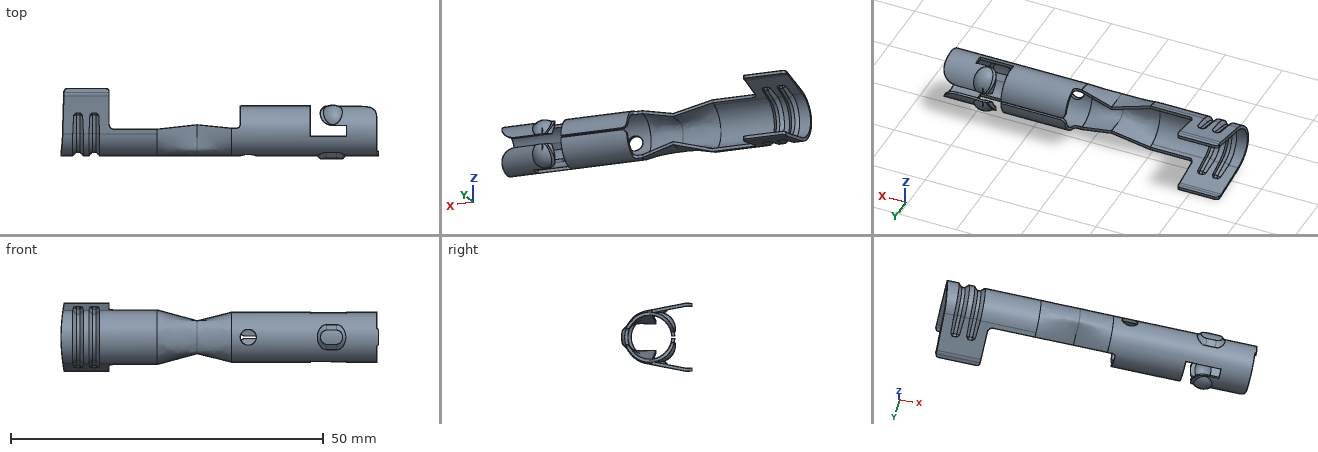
import cadquery as cq
import math

thickness = 0.5
bottom_y = -4.0
trim = 15.25

tube_r = 4.0
tube_start, tube_end = 28.65, 50.55
seam_gap = 0.35
seam_start_corner_r = 0.8
tongue_seam_gap = 1.75
tongue_seam_corner_r = 2.85
end_tab_x = 50.8
end_tab_base, end_tab_tip = 2.85, 2.35
hole_x, hole_d = 29.95, 2.55

window_x0, window_x1 = 39.9, 45.65
window_y0, window_y1 = -0.85, 0.8
tongue_tip_x = 41.45
tongue_x, tongue_r = 43.5, 2.05
tongue_top_x = 43.1
tongue_bend = (41.9, 3.7)

bump_height = 0.6
bump_half_length = 1.5
bump_axis_offset = 2.05
bump_angle = 42.0
bump_depth = 1.2

boss_x, boss_rise = 43.3, 0.5
boss_length, boss_width = 3.55, 2.0
boss_height = 1.0
boss_taper = -45.0

trough_r = 4.3
trough_end = 15.35
trough_top_y = 0.25
wing_angle = 11.0
wing_end = 7.7
wing_top_y = 6.75
wing_spread = 10.9
lip_angle = 4.0
wing_corner_r = 0.5
wing_root_fillet = 0.75
lip_bend_r = 2.3
lip_length = 1.25
end_bow = 0.5

bead_xs = (2.75, 5.35)
bead_width, bead_floor, bead_depth = 1.75, 0.55, 0.55
bead_end_y = 2.85
bead_end_width, bead_end_floor, bead_end_depth = 1.4, 0.55, 0.3
bead_tip_length = 0.4
bead_tip_width, bead_tip_floor, bead_tip_depth = 0.7, 0.5, 0.05

neck_x, neck_end = 21.8, 27.3
neck_half_width = 2.65
neck_top_y = 0.95
neck_floor_r = 4.2
neck_side_y, neck_side_end_y = -0.5, -2.05
neck_corner_y, neck_corner_z = -3.15, 2.5
neck_arc_angles = (62, 45, 22)
collar_top_y = 0.4
collar_fillet = 0.6

trough_y = bottom_y + trough_r
wing_half_height = wing_spread / 2
slope = math.radians(wing_angle)
lip_slope = math.radians(lip_angle)


def polar(center_y, radius, angle):
    """Point (Y, Z) at an angle measured from -Y towards +Z."""
    return (center_y - radius * math.cos(angle), radius * math.sin(angle))


def mirrored(point):
    return (point[0], -point[1])


def with_mirror(body):
    return body.union(body.mirror("XY"))


def trimmed_plan(outline):
    """Body of an X-Y outline reaching through the whole part in Z."""
    return outline.close().extrude(trim, both=True)


def round_corner(body, x, y, radius):
    """Round the Z edge of a plan body at (x, y)."""
    return body.edges(cq.selectors.NearestToPointSelector((x, y, 0))).fillet(radius)


wing_turn = math.pi / 2 - slope


def wing_root(depth):
    """Point where the trough arc meets the straight wing, a depth inside the outer skin."""
    return polar(trough_y, trough_r - depth, wing_turn)


wing_length = (
    wing_half_height - lip_bend_r * (1 - math.cos(slope)) - wing_root(0)[1]
) / math.sin(slope)


def along_wing(depth, distance):
    y, z = wing_root(depth)
    return (y + distance * math.cos(slope), z + distance * math.sin(slope))


def wing_at_y(depth, y):
    return along_wing(depth, (y - wing_root(depth)[0]) / math.cos(slope))


def trough_and_wings():
    """Open trough whose walls rise into the wings at its bowed end."""
    bend_start = along_wing(0, wing_length)
    bend_y = bend_start[0] + lip_bend_r * math.sin(slope)
    bend_z = wing_half_height - lip_bend_r

    def upper_points(depth):
        bend_r = lip_bend_r - depth
        end = (bend_y + bend_r * math.sin(lip_slope), bend_z + bend_r * math.cos(lip_slope))
        tip = (end[0] + lip_length * math.cos(lip_slope), end[1] - lip_length * math.sin(lip_slope))
        return (wing_root(depth), along_wing(depth, wing_length), (bend_y, bend_z + bend_r), end, tip)

    root, start, crest, end, tip = upper_points(0)
    root_in, start_in, crest_in, end_in, tip_in = upper_points(thickness)
    section = (
        cq.Workplane("YZ")
        .moveTo(*tip)
        .lineTo(*end)
        .threePointArc(crest, start)
        .lineTo(*root)
        .threePointArc((bottom_y, 0), mirrored(root))
        .lineTo(*mirrored(start))
        .threePointArc(mirrored(crest), mirrored(end))
        .lineTo(*mirrored(tip))
        .lineTo(*mirrored(tip_in))
        .lineTo(*mirrored(end_in))
        .threePointArc(mirrored(crest_in), mirrored(start_in))
        .lineTo(*mirrored(root_in))
        .threePointArc((bottom_y + thickness, 0), root_in)
        .lineTo(*start_in)
        .threePointArc(crest_in, end_in)
        .lineTo(*tip_in)
        .close()
        .extrude(trough_end)
    )
    plan = trimmed_plan(
        cq.Workplane("XY")
        .moveTo(0, -trim)
        .lineTo(0, wing_top_y)
        .lineTo(wing_end, wing_top_y)
        .lineTo(wing_end, trough_top_y)
        .lineTo(trough_end, trough_top_y)
        .lineTo(trough_end, -trim)
    )
    plan = round_corner(plan, wing_end, trough_top_y, wing_root_fillet)
    plan = round_corner(plan, wing_end, wing_top_y, wing_corner_r)
    bowed_end = (
        cq.Workplane("XZ")
        .moveTo(end_bow, -wing_half_height)
        .threePointArc((0, 0), (end_bow, wing_half_height))
        .lineTo(trough_end, wing_half_height)
        .lineTo(trough_end, -wing_half_height)
        .close()
        .extrude(trim, both=True)
    )
    left_corner = (
        cq.Workplane("XY")
        .moveTo(0, wing_top_y - wing_corner_r)
        .lineTo(0, wing_top_y)
        .lineTo(end_bow + wing_corner_r, wing_top_y)
        .radiusArc((end_bow, wing_top_y - wing_corner_r), -wing_corner_r)
    )
    return section.intersect(plan).intersect(bowed_end).cut(trimmed_plan(left_corner))


def trough_section(depth):
    """Upper half of the trough section, from its top edge towards the floor."""
    radius = trough_r - depth
    arc = [polar(trough_y, radius, math.radians(angle)) for angle in neck_arc_angles]
    return [wing_at_y(depth, trough_top_y), wing_root(depth)] + arc


def neck_section(depth):
    """Upper half of the pinched section: a flat side rounding into the floor."""
    side_z = neck_half_width - depth
    side = [(neck_top_y, side_z), (neck_side_y, side_z), (neck_side_end_y, side_z)]
    corner = (neck_corner_y + depth, neck_corner_z - depth)
    floor = polar(bottom_y + neck_floor_r, neck_floor_r - depth, math.radians(neck_arc_angles[-1]))
    return side + [corner, floor]


def tube_section(depth):
    """Upper half of the tube section up to the top of its collar."""
    radius = tube_r - depth
    top = (collar_top_y, math.sqrt(radius**2 - collar_top_y**2))
    side = polar(0, radius, wing_turn)
    arc = [polar(0, radius, math.radians(angle)) for angle in neck_arc_angles]
    return [top, side] + arc


def sheet_wire(x, section):
    """Closed wire of a bent sheet that is symmetric about Z = 0."""

    def skin(depth):
        upper = section(depth)
        return upper + [(bottom_y + depth, 0)] + [mirrored(point) for point in reversed(upper)]

    outer = skin(0)
    inner = skin(thickness)
    return (
        cq.Workplane("YZ", origin=(x, 0, 0))
        .spline(outer)
        .lineTo(*inner[-1])
        .spline(inner[-2::-1], includeCurrent=True)
        .close()
        .val()
    )


def neck():
    """Sheet pinched from the trough section to flat sides and opened again to the tube section."""
    trough_wire = sheet_wire(trough_end, trough_section)
    neck_wire = sheet_wire(neck_x, neck_section)
    tube_wire = sheet_wire(neck_end, tube_section)
    closing = cq.Solid.makeLoft([trough_wire, neck_wire], True)
    opening = cq.Solid.makeLoft([neck_wire, tube_wire], True)
    return cq.Workplane(closing).union(cq.Workplane(opening))


def bead(x, depth):
    """Trapezoidal bar pressed in from a skin of the trough, shallower along the wings."""
    radius = trough_r - depth
    root_y, root_z = wing_root(depth)
    root_plane = cq.Plane(
        origin=(x, root_y, root_z), xDir=(1, 0, 0), normal=(0, math.cos(slope), math.sin(slope))
    )

    def profile(wire, width, floor, height):
        outline = [(-width / 2, 0), (width / 2, 0), (floor / 2, height), (-floor / 2, height)]
        return wire.polyline(outline).close()

    root = profile(cq.Workplane(root_plane), bead_width, bead_floor, bead_depth)
    turned = root.revolve(180 - 2 * wing_angle, (-0.5, radius), (0.5, radius))

    reach = (bead_end_y - root_y) / math.cos(slope)
    straight = profile(cq.Workplane(root_plane), bead_width, bead_floor, bead_depth)
    straight = straight.workplane(offset=reach - bead_tip_length)
    straight = profile(straight, bead_end_width, bead_end_floor, bead_end_depth)
    straight = straight.workplane(offset=bead_tip_length)
    straight = profile(straight, bead_tip_width, bead_tip_floor, bead_tip_depth)
    return turned.union(with_mirror(straight.loft(ruled=True)))


def tube_shell():
    """Closed tube together with the half-open collar that joins it to the neck."""
    shell = (
        cq.Workplane("YZ", origin=(neck_end, 0, 0))
        .circle(tube_r)
        .circle(tube_r - thickness)
        .extrude(end_tab_x - neck_end)
    )
    plan = trimmed_plan(
        cq.Workplane("XY")
        .moveTo(neck_end, -trim)
        .lineTo(neck_end, collar_top_y)
        .lineTo(tube_start, collar_top_y)
        .lineTo(tube_start, trim)
        .lineTo(end_tab_x, trim)
        .lineTo(end_tab_x, -trim)
    )
    return shell.intersect(round_corner(plan, tube_start, collar_top_y, collar_fillet))


def rod(radius):
    """Solid cylinder on the tube axis, as long as the tube."""
    return cq.Workplane("YZ", origin=(tube_start, 0, 0)).circle(radius).extrude(tube_end - tube_start)


def beyond_end():
    """Space beyond the tube end, around a chamfered tab at the closed side."""
    space = cq.Workplane("XZ").rect(2 * trim, 2 * trim).extrude(trim, both=True)
    space = space.translate((tube_end + trim, 0, 0))
    tab = (
        cq.Workplane("XZ")
        .moveTo(tube_end, -end_tab_base / 2)
        .lineTo(end_tab_x, -end_tab_tip / 2)
        .lineTo(end_tab_x, end_tab_tip / 2)
        .lineTo(tube_end, end_tab_base / 2)
        .close()
        .extrude(trim)
    )
    return space.cut(tab)


def seam():
    """Gap along the open side, wider past the windows, with round sheet corners at both ends."""
    half_gap = seam_gap / 2
    start_z = half_gap + seam_start_corner_r
    half_wide_gap = tongue_seam_gap / 2
    end_z = half_wide_gap + tongue_seam_corner_r
    upper = (
        cq.Workplane("XZ")
        .moveTo(tube_start, 0)
        .lineTo(tube_start, start_z)
        .radiusArc((tube_start + seam_start_corner_r, half_gap), -seam_start_corner_r)
        .lineTo(window_x0, half_gap)
        .lineTo(window_x0, half_wide_gap)
        .lineTo(tube_end - tongue_seam_corner_r, half_wide_gap)
        .radiusArc((tube_end, end_z), -tongue_seam_corner_r)
        .lineTo(tube_end, 0)
        .close()
        .extrude(-trim)
    )
    return with_mirror(upper)


def bump(depth):
    """Domed body on the upper tongue, lying a depth below the bump's outer skin."""
    arc_r = (bump_half_length**2 + bump_height**2) / (2 * bump_height)
    crest = tube_r + bump_height - bump_axis_offset
    center = crest - arc_r
    base = crest - bump_depth
    radius = arc_r - depth
    half_base = math.sqrt(radius**2 - (base - center) ** 2)
    dome = (
        cq.Workplane("XY")
        .moveTo(-half_base, 0)
        .lineTo(-half_base, base)
        .threePointArc((0, center + radius), (half_base, base))
        .lineTo(half_base, 0)
        .close()
        .revolve(360, (0, 0), (1, 0))
        .translate((tongue_x, bump_axis_offset, 0))
    )
    return dome.rotate((0, 0, 0), (1, 0, 0), bump_angle)


def window():
    """Opening through both tube sides, running out to the seam around the tongue tip."""
    return trimmed_plan(
        cq.Workplane("XY")
        .moveTo(window_x0, window_y0)
        .lineTo(window_x1, window_y0)
        .lineTo(window_x1, window_y1)
        .lineTo(tongue_x, window_y1)
        .radiusArc((tongue_tip_x, window_y1 + tongue_r), tongue_r)
        .threePointArc(tongue_bend, (tongue_top_x, tube_r))
        .lineTo(tongue_top_x, trim)
        .lineTo(window_x0, trim)
    )


def boss(depth):
    """Tapered oval body with a rounded top on the closed side, a depth inside the boss skin."""
    top_r = tube_r + boss_rise - depth
    body = (
        cq.Workplane("XZ", origin=(boss_x, -top_r, 0))
        .slot2D(boss_length - depth, boss_width - depth)
        .extrude(-boss_height, taper=boss_taper)
    )
    return body.intersect(rod(top_r))


def contact_tube():
    """Tube with its pressed-out bumps and boss, then all openings."""
    bore = rod(tube_r - thickness)
    hole = cq.Workplane("XZ", origin=(hole_x, 0, 0)).circle(hole_d / 2).extrude(trim)
    tube = tube_shell()
    tube = tube.union(with_mirror(bump(0)).cut(bore)).cut(with_mirror(bump(thickness)))
    tube = tube.union(boss(0).cut(bore)).cut(boss(thickness))
    for opening in (window(), seam(), beyond_end(), hole):
        tube = tube.cut(opening)
    return tube


trough = trough_and_wings()
for bead_x in bead_xs:
    trough = trough.union(bead(bead_x, thickness)).cut(bead(bead_x, 0))

result = trough.union(neck()).union(contact_tube())